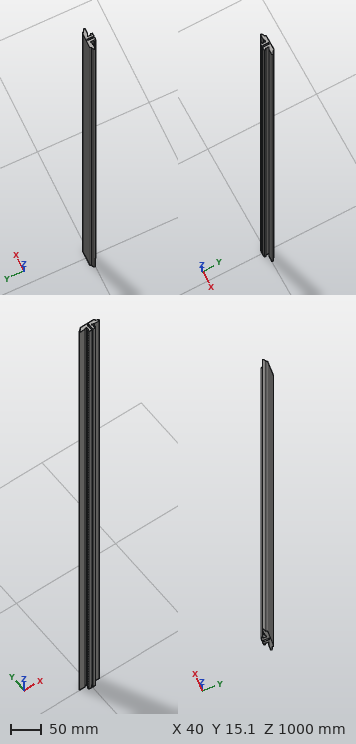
import cadquery as cq
import math

WIDTH = 40.0
HEIGHT = 15.08
LENGTH = 1000.0

HALF_WIDTH = WIDTH / 2
TOP_Y = HEIGHT / 2
BOTTOM_Y = -HEIGHT / 2

PLATE_HALF_WIDTH = 14.8
PLATE_CORNER_RADIUS = 2.0

SHOULDER_Y = 4.95
SHOULDER_BREAK_X = 17.2
SHOULDER_BREAK_Y = 4.1
TIP_TOP_Y = 2.3
TIP_BOTTOM_Y = 0.1
TIP_RADIUS = 1.1

ARM_INNER_X = 9.3
ARM_INNER_Y = 0.3
CHANNEL_OUTER_Y = 0.7
CHANNEL_INNER_Y = 2.1

STEM_HALF_WIDTH = 5.3
BARB_Y = -4.2
BARB_HALF_WIDTH = 7.45
FOOT_HALF_WIDTH = 6.85
FOOT_RADIUS = 34.0

SLIT_HALF_WIDTH = 1.2
SLIT_TOP_Y = 5.0

FOOT_CENTER_Y = BOTTOM_Y + math.sqrt(FOOT_RADIUS**2 - SLIT_HALF_WIDTH**2)
PICK_MARGIN = 0.01


def foot_y(x):
    """Height of the domed foot underside; its lowest points are the slit edges."""
    return FOOT_CENTER_Y - math.sqrt(FOOT_RADIUS**2 - x**2)


def side_points():
    """Right-hand corners of the section, from the plate corner down to the foot corner."""
    return [
        (PLATE_HALF_WIDTH, TOP_Y),
        (PLATE_HALF_WIDTH, SHOULDER_Y),
        (SHOULDER_BREAK_X, SHOULDER_BREAK_Y),
        (HALF_WIDTH, TIP_TOP_Y),
        (HALF_WIDTH, TIP_BOTTOM_Y),
        (ARM_INNER_X, ARM_INNER_Y),
        (ARM_INNER_X, CHANNEL_OUTER_Y),
        (STEM_HALF_WIDTH, CHANNEL_INNER_Y),
        (STEM_HALF_WIDTH, BARB_Y),
        (BARB_HALF_WIDTH, BARB_Y),
        (FOOT_HALF_WIDTH, foot_y(FOOT_HALF_WIDTH)),
    ]


def sharp_section():
    """Closed section, symmetric about X = 0, with the plate and tip corners still sharp."""
    right = side_points()
    left = [(-x, y) for x, y in reversed(right)]
    arc_mid_x = (SLIT_HALF_WIDTH + FOOT_HALF_WIDTH) / 2
    arc_mid_y = foot_y(arc_mid_x)
    return (
        cq.Workplane("XY")
        .polyline(right)
        .threePointArc((arc_mid_x, arc_mid_y), (SLIT_HALF_WIDTH, BOTTOM_Y))
        .lineTo(SLIT_HALF_WIDTH, SLIT_TOP_Y)
        .lineTo(-SLIT_HALF_WIDTH, SLIT_TOP_Y)
        .lineTo(-SLIT_HALF_WIDTH, BOTTOM_Y)
        .threePointArc((-arc_mid_x, arc_mid_y), left[0])
        .polyline(left, includeCurrent=False)
        .close()
    )


def round_corner_pair(body, x, y, radius):
    """Fillet the two lengthwise edges at (x, y) and (-x, y)."""
    for edge_x in (x, -x):
        pick_box = cq.selectors.BoxSelector(
            (edge_x - PICK_MARGIN, y - PICK_MARGIN, 0),
            (edge_x + PICK_MARGIN, y + PICK_MARGIN, LENGTH),
        )
        body = body.edges("|Z").edges(pick_box).fillet(radius)
    return body


strip = sharp_section().extrude(LENGTH)
strip = round_corner_pair(strip, PLATE_HALF_WIDTH, TOP_Y, PLATE_CORNER_RADIUS)
strip = round_corner_pair(strip, HALF_WIDTH, TIP_TOP_Y, TIP_RADIUS)
strip = round_corner_pair(strip, HALF_WIDTH, TIP_BOTTOM_Y, TIP_RADIUS)

result = strip